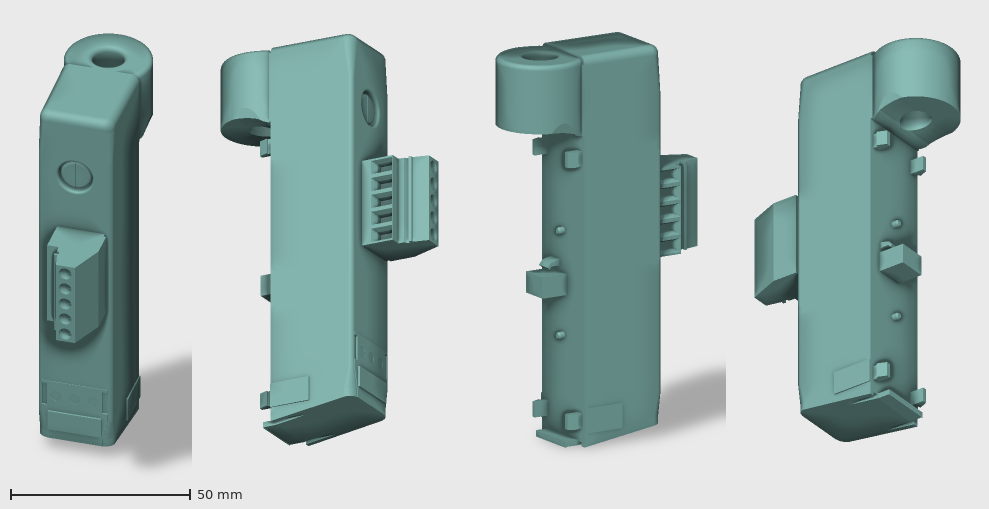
import cadquery as cq


HEIGHT = 112.3
DEPTH = 25.7
BACK_HALF_WIDTH = 11.1
FRONT_HALF_WIDTH = 10.8
CORNER_RADIUS = 1.2
END_CORNER_RADIUS = 2.8
LOWER_FLARE = (6.0, 12.1)
UPPER_FLARE = (98.8, 108.9)
TOP_FILLET = 2.5
FLOOR_Z_BACK = 0.2
FLOOR_Z_FRONT = 3.7
LEG_NOTCH_X = (7.9, 9.5)
LEG_NOTCH_TOP = 1.5
PAD_THICKNESS = 0.3
PAD_LENGTH = 12.2
PAD_Z = (4.3, 11.3)

RING_DIAMETER = 24.9
RING_RADIUS = RING_DIAMETER / 2
RING_Y = 7.6
RING_TOP = 111.5
RING_BOTTOM = 92.0
RING_EDGE_FILLET = 1.3
BORE_DIAMETER = 9.0
BORE_FILLET = 1.5
NECK_HALF_WIDTH = 11.0
NECK_DEPTH = 0.6
NECK_TOP = 110.0
NECK_BOTTOM = 89.6
CHEEK_TOP = 94.5
CHEEK_FOOT_X = 11.3

LUG_TIP_Y = 4.4
LUG_BARB_Y = 1.6
LUG_INNER_X = 7.9
LUG_TIP_X = 9.2
LUG_BARB_X = 10.3
LUG_NECK_X = 9.7
LUG_HEIGHT = 4.4
LUG_CENTRES_Z = (82.9, 7.6)
PIN_DIAMETER = 2.1
PIN_LENGTH = 2.0
PIN_TIP_HEIGHT = 0.6
PIN_TIP_INSET = 0.3
PIN_CENTRES_Z = (60.3, 30.2)
BLOCK_X = (-1.9, 6.7)
BLOCK_LENGTH = 8.1
BLOCK_Z = (42.1, 48.2)
HOOK_X = (1.8, 6.3)
LATCH_HALF_WIDTH = 7.7
LATCH_LENGTH = 4.2
LATCH_TOP = 1.8
LATCH_LIP = 0.3

SCREW_Z = 92.5
SCREW_DIAMETER = 9.0
SCREW_RECESS = 0.9
SCREW_FILLET = 0.9
SCREW_HOLE_DIAMETER = 10.1
SCREW_HOLE_DEPTH = 3.4
SCREW_HOLE_FILLET = 0.7
SCREW_SLOT_WIDTH = 0.1
SCREW_SLOT_DEPTH = 0.5

DOOR_TOP = 22.8
DOOR_SEAT_DEPTH = 1.1
DOOR_STEP = 0.17
DOOR_HALF_WIDTH = FRONT_HALF_WIDTH - CORNER_RADIUS
DOOR_END_HALF_WIDTH = FRONT_HALF_WIDTH - END_CORNER_RADIUS
LAMP_DIAMETER = 3.1
LAMP_PITCH = 5.4
LAMP_Z = 18.2
LAMP_RECESS = 0.1
GRIP_WIDTH = 1.6
GRIP_Z = (14.7, 21.9)
GRIP_DEPTH = 0.6
LABEL_HALF_WIDTH = 7.7
LABEL_Z = (7.0, 13.0)
LABEL_HEIGHT = 0.8

TERMINAL_COUNT = 5
TERMINAL_PITCH = 5.0
PLUG_BOTTOM = 49.9
PLUG_LEFT = -5.2
PLUG_RIGHT = 9.4
PLUG_FOOT_RIGHT = 8.6
PLUG_FRONT = -44.2
WIRE_HOLE_DIAMETER = 3.6
WIRE_HOLE_X = 2.6
WIRE_HOLE_DEPTH = 3.4
WINDOW_CENTRE_Y = -32.0
WINDOW_LENGTH = 6.6
WINDOW_HEIGHT = 3.9
WINDOW_POCKET_LENGTH = 4.6
WINDOW_POCKET_HEIGHT = 2.5
WINDOW_BEVEL_DEPTH = 1.7
WINDOW_POCKET_DEPTH = 2.2


def box(x_range, y_range, z_range):
    """Box given by its limits along the three axes."""
    size = [limits[1] - limits[0] for limits in (x_range, y_range, z_range)]
    corner = cq.Vector(x_range[0], y_range[0], z_range[0])
    return cq.Workplane(cq.Solid.makeBox(*size, corner))


def cylinder_along_y(diameter, x, y_start, y_end, z):
    """Cylinder with its axis along Y between two Y positions."""
    start = cq.Vector(x, y_start, z)
    return cq.Workplane(cq.Solid.makeCylinder(diameter / 2, y_end - y_start, start, cq.Vector(0, 1, 0)))


def side_profile(points, x_range):
    """Prism along X from (Y, Z) corner points."""
    outline = cq.Workplane("YZ", origin=(x_range[0], 0, 0)).polyline(points).close()
    return outline.extrude(x_range[1] - x_range[0])


def shell_section(z, radius):
    """Horizontal outline of the housing with rounded front corners."""
    corners = [
        (-BACK_HALF_WIDTH, 0, z),
        (BACK_HALF_WIDTH, 0, z),
        (FRONT_HALF_WIDTH, -DEPTH, z),
        (-FRONT_HALF_WIDTH, -DEPTH, z),
    ]
    wire = cq.Wire.makePolygon([cq.Vector(*corner) for corner in corners], close=True)
    face = cq.Face.makeFromWires(wire)
    front_corners = [v for v in face.Vertices() if v.Y < -DEPTH / 2]
    return face.fillet2D(radius, front_corners).outerWire()


def below_floor():
    """Space under the sloping floor of the housing."""
    reach = 2 * DEPTH
    slope = (FLOOR_Z_FRONT - FLOOR_Z_BACK) / DEPTH
    points = [
        (0, FLOOR_Z_BACK),
        (-reach, FLOOR_Z_BACK + slope * reach),
        (-reach, -HEIGHT),
        (0, -HEIGHT),
    ]
    return side_profile(points, (-RING_DIAMETER, RING_DIAMETER))


def housing_shell():
    stations = [
        (0, END_CORNER_RADIUS),
        (LOWER_FLARE[0], END_CORNER_RADIUS),
        (LOWER_FLARE[1], CORNER_RADIUS),
        (UPPER_FLARE[0], CORNER_RADIUS),
        (UPPER_FLARE[1], END_CORNER_RADIUS),
        (HEIGHT, END_CORNER_RADIUS),
    ]
    sections = [shell_section(z, radius) for z, radius in stations]
    shell = cq.Workplane(cq.Solid.makeLoft(sections, True))
    shell = shell.faces(">Z").edges("not >Y").fillet(TOP_FILLET)
    for side in (-1, 1):
        outer = side * (BACK_HALF_WIDTH + PAD_THICKNESS)
        inner = side * DOOR_HALF_WIDTH
        shell = shell.union(box(sorted((inner, outer)), (-PAD_LENGTH, 0), PAD_Z))
    shell = shell.cut(below_floor())
    for side in (-1, 1):
        notch_x = sorted(side * x for x in LEG_NOTCH_X)
        shell = shell.cut(box(notch_x, (-DEPTH, 0), (0, LEG_NOTCH_TOP)))
    return shell


def ring():
    """Ring with a neck to the housing, a curved underside and sloped lower cheeks."""
    body = cq.Workplane("XY", origin=(0, RING_Y, NECK_BOTTOM)).circle(RING_RADIUS)
    body = body.extrude(RING_TOP - NECK_BOTTOM)
    body = body.faces(">Z").edges().fillet(RING_EDGE_FILLET)
    ring_back = RING_Y + RING_RADIUS
    behind_mounting_face = box((-RING_RADIUS, RING_RADIUS), (0, ring_back), (0, HEIGHT))
    body = body.intersect(behind_mounting_face)
    body = body.union(
        box((-NECK_HALF_WIDTH, NECK_HALF_WIDTH), (0, NECK_DEPTH), (NECK_BOTTOM, NECK_TOP))
    )

    underside = (
        cq.Workplane("YZ", origin=(-RING_DIAMETER, 0, 0))
        .moveTo(0, NECK_BOTTOM)
        .threePointArc((2.0, 89.9), (3.7, 90.8))
        .threePointArc((7.0, 91.6), (10.3, RING_BOTTOM))
        .lineTo(RING_DIAMETER, RING_BOTTOM)
        .lineTo(RING_DIAMETER, 0)
        .lineTo(0, 0)
        .close()
        .extrude(2 * RING_DIAMETER)
    )
    body = body.cut(underside)

    for side in (-1, 1):
        cheek = (
            cq.Workplane("XZ")
            .polyline([
                (side * RING_RADIUS, CHEEK_TOP),
                (side * CHEEK_FOOT_X, NECK_BOTTOM),
                (side * RING_RADIUS, NECK_BOTTOM),
            ])
            .close()
            .extrude(-ring_back)
        )
        body = body.cut(cheek)

    bore = cq.Workplane("XY", origin=(0, RING_Y, 0)).circle(BORE_DIAMETER / 2).extrude(HEIGHT)
    body = body.cut(bore)
    rim = cq.selectors.RadiusNthSelector(0)
    return body.faces(">Z").edges("%CIRCLE").edges(rim).fillet(BORE_FILLET)


def snap_lug(side, centre_z):
    """Barbed lug behind the mounting face, its barb pointing outwards."""
    points = [
        (LUG_INNER_X, 0),
        (LUG_NECK_X, 0),
        (LUG_NECK_X, LUG_BARB_Y),
        (LUG_BARB_X, LUG_BARB_Y),
        (LUG_TIP_X, LUG_TIP_Y),
        (LUG_INNER_X, LUG_TIP_Y),
    ]
    outline = [(side * x, y) for x, y in points]
    base = cq.Workplane("XY", origin=(0, 0, centre_z - LUG_HEIGHT / 2))
    return base.polyline(outline).close().extrude(LUG_HEIGHT)


def guide_pin(centre_z):
    pin = cylinder_along_y(PIN_DIAMETER, 0, 0, PIN_LENGTH, centre_z)
    return pin.faces(">Y").chamfer(PIN_TIP_HEIGHT, PIN_TIP_INSET)


def spring_hook():
    points = [
        (0, 51.6),
        (1.7, 51.3),
        (3.0, 50.9),
        (4.0, 49.6),
        (3.4, 49.1),
        (2.7, 49.9),
        (0.8, 49.9),
        (0, 49.5),
    ]
    return side_profile(points, HOOK_X)


def bottom_latch():
    """Flat tongue with a small lip under its free end."""
    points = [
        (0, FLOOR_Z_BACK),
        (0, LATCH_TOP),
        (LATCH_LENGTH, LATCH_TOP),
        (LATCH_LENGTH, 0),
        (LATCH_LENGTH - LATCH_LIP, FLOOR_Z_BACK),
    ]
    return side_profile(points, (-LATCH_HALF_WIDTH, LATCH_HALF_WIDTH))


def door_outline():
    """Flat front area of the housing below the top edge of the door."""
    right_side = [
        (DOOR_END_HALF_WIDTH, 0),
        (DOOR_END_HALF_WIDTH, LOWER_FLARE[0]),
        (DOOR_HALF_WIDTH, LOWER_FLARE[1]),
        (DOOR_HALF_WIDTH, DOOR_TOP),
    ]
    left_side = [(-x, z) for x, z in reversed(right_side)]
    base = cq.Workplane("XZ", origin=(0, DOOR_SEAT_DEPTH - DEPTH, 0))
    return base.polyline(right_side + left_side).close()


def make_housing():
    body = housing_shell().union(ring())
    for centre_z in LUG_CENTRES_Z:
        for side in (-1, 1):
            body = body.union(snap_lug(side, centre_z))
    for centre_z in PIN_CENTRES_Z:
        body = body.union(guide_pin(centre_z))
    body = body.union(box(BLOCK_X, (0, BLOCK_LENGTH), BLOCK_Z))
    body = body.union(spring_hook())
    body = body.union(bottom_latch())

    screw_hole = cylinder_along_y(
        SCREW_HOLE_DIAMETER, 0, -DEPTH, SCREW_HOLE_DEPTH - DEPTH, SCREW_Z
    )
    body = body.cut(screw_hole)
    at_rim = cq.selectors.NearestToPointSelector((0, -DEPTH, SCREW_Z - SCREW_HOLE_DIAMETER / 2))
    body = body.edges("%CIRCLE").edges(at_rim).fillet(SCREW_HOLE_FILLET)

    return body.cut(door_outline().extrude(DOOR_SEAT_DEPTH))


def make_screw():
    """Round adjusting screw standing on the floor of its hole, with a fine slot."""
    face_y = SCREW_RECESS - DEPTH
    screw = cylinder_along_y(SCREW_DIAMETER, 0, face_y, SCREW_HOLE_DEPTH - DEPTH, SCREW_Z)
    screw = screw.faces("<Y").edges().fillet(SCREW_FILLET)
    slot = box(
        (-SCREW_SLOT_WIDTH / 2, SCREW_SLOT_WIDTH / 2),
        (face_y, face_y + SCREW_SLOT_DEPTH),
        (SCREW_Z - SCREW_DIAMETER / 2, SCREW_Z + SCREW_DIAMETER / 2),
    )
    return screw.cut(slot)


def make_door():
    """Front cover plate with a raised label, three lamp spots and two side grips."""
    front_y = -DEPTH - DOOR_STEP
    door = door_outline().extrude(DOOR_SEAT_DEPTH + DOOR_STEP).cut(below_floor())
    label_y = (-DEPTH - LABEL_HEIGHT, -DEPTH)
    door = door.union(box((-LABEL_HALF_WIDTH, LABEL_HALF_WIDTH), label_y, LABEL_Z))
    for column in (-1, 0, 1):
        lamp = cylinder_along_y(
            LAMP_DIAMETER, column * LAMP_PITCH, front_y, front_y + LAMP_RECESS, LAMP_Z
        )
        door = door.cut(lamp)
    for side in (-1, 1):
        grip_x = sorted((side * (DOOR_HALF_WIDTH - GRIP_WIDTH), side * DOOR_HALF_WIDTH))
        door = door.cut(box(grip_x, (front_y, front_y + GRIP_DEPTH), GRIP_Z))
    return door


def make_plug():
    """Five-way terminal plug seated on the front of the housing."""
    outline = (
        cq.Workplane("XY", origin=(0, 0, PLUG_BOTTOM))
        .moveTo(PLUG_LEFT, -DEPTH)
        .lineTo(PLUG_LEFT, -35.5)
        .lineTo(-1.8, -35.5)
        .lineTo(-1.8, -37.3)
        .threePointArc((-1.1, -37.8), (-0.9, -38.8))
        .lineTo(-2.2, -38.8)
        .lineTo(-1.9, -39.6)
        .lineTo(-1.1, -39.5)
        .lineTo(-0.1, PLUG_FRONT)
        .lineTo(5.4, PLUG_FRONT)
        .lineTo(PLUG_RIGHT, -34.6)
        .lineTo(PLUG_RIGHT, -27.0)
        .lineTo(PLUG_FOOT_RIGHT, -27.0)
        .lineTo(PLUG_FOOT_RIGHT, -DEPTH)
        .close()
    )
    plug = outline.extrude(TERMINAL_COUNT * TERMINAL_PITCH)
    for index in range(TERMINAL_COUNT):
        centre_z = PLUG_BOTTOM + (index + 0.5) * TERMINAL_PITCH
        wire_hole = cylinder_along_y(
            WIRE_HOLE_DIAMETER, WIRE_HOLE_X, PLUG_FRONT, PLUG_FRONT + WIRE_HOLE_DEPTH, centre_z
        )
        window = (
            cq.Workplane("YZ", origin=(PLUG_LEFT, WINDOW_CENTRE_Y, centre_z))
            .rect(WINDOW_LENGTH, WINDOW_HEIGHT)
            .workplane(offset=WINDOW_BEVEL_DEPTH)
            .rect(WINDOW_POCKET_LENGTH, WINDOW_POCKET_HEIGHT)
            .loft(ruled=True)
            .faces(">X")
            .wires()
            .toPending()
            .extrude(WINDOW_POCKET_DEPTH)
        )
        plug = plug.cut(wire_hole).cut(window)
    return plug


housing = make_housing()
screw = make_screw()
door = make_door()
plug = make_plug()

bodies = [body.solids().val() for body in (housing, screw, door, plug)]
result = cq.Compound.makeCompound(bodies)